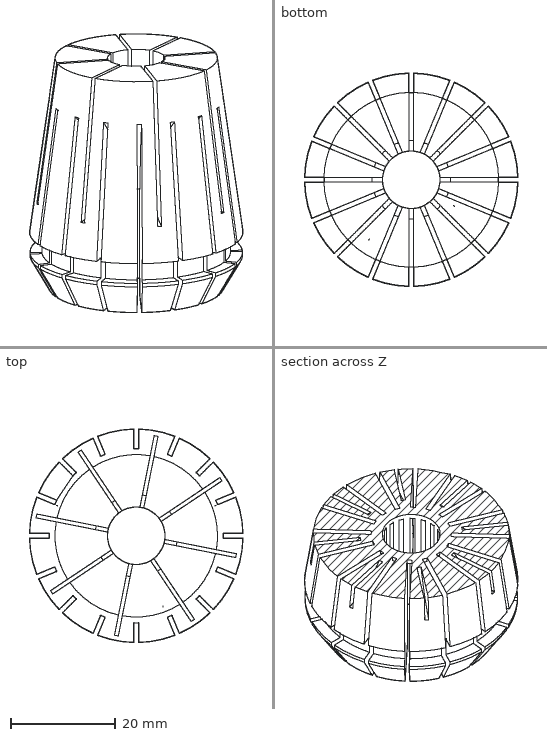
import cadquery as cq
import math


height = 46.0
bore_radius = 5.5
max_radius = 20.5
taper_angle = 8.0
nose_angle = 30.0
collar_radius = 20.4
groove_radius = 18.1
groove_bottom_z = 7.0
groove_top_z = 11.0
collar_land = 0.7

nose_height = groove_bottom_z - collar_land
nose_radius = collar_radius - nose_height * math.tan(math.radians(nose_angle))

lower_slot_count = 16
lower_slot_width = 0.9
lower_slot_outer_z = 37.8
lower_slot_inner_z = 22.0
lower_slot_inner_radius = 7.5
lower_slot_arc_radius = 25.0

upper_slot_count = 8
upper_slot_width = 0.75
upper_slot_outer_z = 18.0
upper_slot_inner_z = 25.4
upper_slot_inner_radius = 7.9
upper_slot_arc_radius = 17.1
upper_slot_inner_slope = 12.4

lower_slot_pitch = 360.0 / lower_slot_count
upper_slot_pitch = 360.0 / upper_slot_count
upper_slot_start = 1.5 * lower_slot_pitch

clearance = 1.0


def taper_radius(z):
    """Radius of the tapered outside at height z."""
    return max_radius - (z - groove_top_z) * math.tan(math.radians(taper_angle))


def arc_midpoint(start, end, radius, bulge_up):
    """Middle of the arc joining two (radius, z) points and bulging toward the axis."""
    dr = end[0] - start[0]
    dz = end[1] - start[1]
    chord = math.hypot(dr, dz)
    sagitta = radius - math.sqrt(radius**2 - (chord / 2) ** 2)
    inward = -abs(dz) / chord
    vertical = abs(dr) / chord if bulge_up else -abs(dr) / chord
    mid_r = (start[0] + end[0]) / 2 + sagitta * inward
    mid_z = (start[1] + end[1]) / 2 + sagitta * vertical
    return mid_r, mid_z


def make_body():
    profile = [
        (bore_radius, 0),
        (nose_radius, 0),
        (collar_radius, nose_height),
        (collar_radius, groove_bottom_z),
        (groove_radius, groove_bottom_z),
        (groove_radius, groove_top_z),
        (max_radius, groove_top_z),
        (taper_radius(height), height),
        (bore_radius, height),
    ]
    section = cq.Workplane("XZ").polyline(profile).close()
    return section.revolve(360, (0, 0, 0), (0, 1, 0))


def make_slot(width, open_z, outer_z, inner, arc_radius, axis_z):
    """Radial cutter along +X, closed by an arc from the taper in to the inner point."""
    outer = (taper_radius(outer_z), outer_z)
    middle = arc_midpoint(outer, inner, arc_radius, bulge_up=outer_z > open_z)
    reach = max_radius + clearance
    return (
        cq.Workplane("XZ")
        .moveTo(0, open_z)
        .lineTo(reach, open_z)
        .lineTo(reach, outer_z)
        .lineTo(*outer)
        .threePointArc(middle, inner)
        .lineTo(0, axis_z)
        .close()
        .extrude(width / 2, both=True)
    )


def cut_around(body, cutter, count, pitch, start=0.0):
    for index in range(count):
        body = body.cut(cutter.rotate((0, 0, 0), (0, 0, 1), start + index * pitch))
    return body


lower_slot = make_slot(
    lower_slot_width,
    -clearance,
    lower_slot_outer_z,
    (lower_slot_inner_radius, lower_slot_inner_z),
    lower_slot_arc_radius,
    lower_slot_inner_z,
)

upper_slot_drop = upper_slot_inner_radius * math.tan(math.radians(upper_slot_inner_slope))
upper_slot = make_slot(
    upper_slot_width,
    height + clearance,
    upper_slot_outer_z,
    (upper_slot_inner_radius, upper_slot_inner_z),
    upper_slot_arc_radius,
    upper_slot_inner_z - upper_slot_drop,
)

result = make_body()
result = cut_around(result, lower_slot, lower_slot_count, lower_slot_pitch)
result = cut_around(result, upper_slot, upper_slot_count, upper_slot_pitch, upper_slot_start)